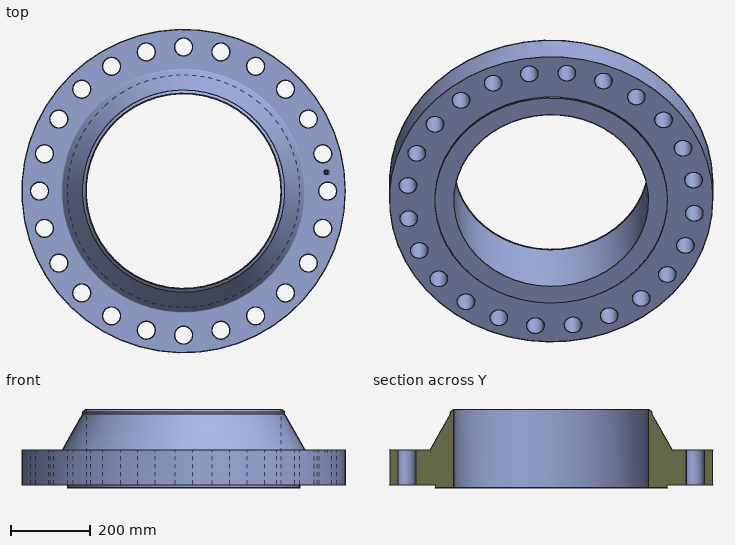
import cadquery as cq
import math

flange_diameter = 812.8
flange_thickness = 88.9

raised_face_diameter = 584.2
raised_face_height = 6.35

hub_base_diameter = 609.6
neck_diameter = 508.0
overall_height = 196.85
neck_length = 6.0
bore_diameter = 488.95
hub_fillet_radius = 3.0

weld_bevel_angle = 37.5
weld_land = 1.6

bolt_count = 24
bolt_circle_diameter = 723.9
bolt_hole_diameter = 44.45

small_hole_diameter = 6.0
small_hole_depth = 12.0
counterbore_diameter = 12.4
counterbore_depth = 1.0
small_hole_angle = 180 / bolt_count

flange_bottom = raised_face_height
flange_top = flange_bottom + flange_thickness
bevel_width = (neck_diameter - bore_diameter) / 2 - weld_land
bevel_height = bevel_width * math.tan(math.radians(weld_bevel_angle))
neck_top = overall_height - bevel_height
neck_bottom = neck_top - neck_length


def make_body():
    """Revolve the cross-section of ring, hub, neck and raised face about Z."""
    bore_radius = bore_diameter / 2
    profile = [
        (bore_radius, 0),
        (raised_face_diameter / 2, 0),
        (raised_face_diameter / 2, flange_bottom),
        (flange_diameter / 2, flange_bottom),
        (flange_diameter / 2, flange_top),
        (hub_base_diameter / 2, flange_top),
        (neck_diameter / 2, neck_bottom),
        (neck_diameter / 2, neck_top),
        (bore_radius + weld_land, overall_height),
        (bore_radius, overall_height),
    ]
    return cq.Workplane("XZ").polyline(profile).close().revolve(360, (0, 0, 0), (0, 1, 0))


def fillet_hub_base(body):
    """Round the inside corner where the hub meets the ring."""
    ring_top = body.faces("|Z").faces(">Z[-2]")
    return ring_top.edges(cq.selectors.RadiusNthSelector(0)).fillet(hub_fillet_radius)


def cut_bolt_holes(body):
    """Drill the ring of through holes."""
    holes = (
        cq.Workplane("XY")
        .polarArray(bolt_circle_diameter / 2, 0, 360, bolt_count)
        .circle(bolt_hole_diameter / 2)
        .extrude(flange_top)
    )
    return body.cut(holes)


def cut_small_hole(body):
    """Drill the small counterbored blind hole down from the ring's top face."""
    return (
        body.copyWorkplane(cq.Workplane("XY", origin=(0, 0, flange_top)))
        .polarArray(bolt_circle_diameter / 2, small_hole_angle, 360, 1)
        .cboreHole(small_hole_diameter, counterbore_diameter, counterbore_depth, small_hole_depth)
    )


body = make_body()
body = fillet_hub_base(body)
body = cut_bolt_holes(body)
result = cut_small_hole(body)